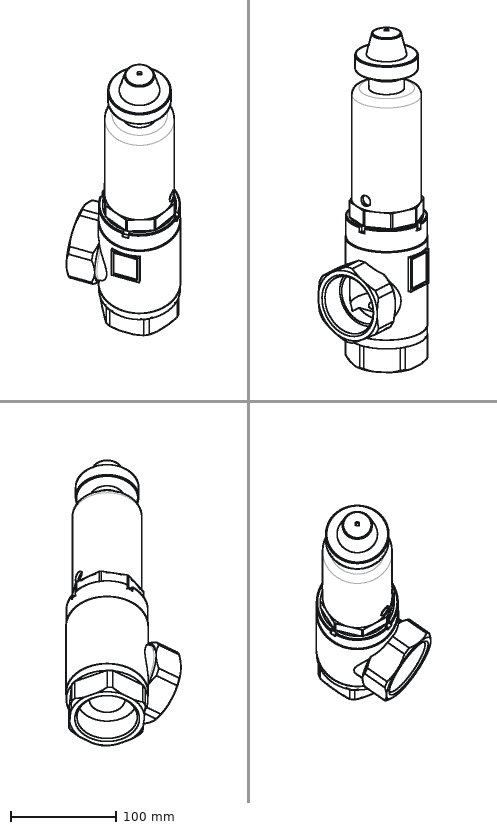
import cadquery as cq
import math

hex_top = 25.5
barrel_bottom = 34.7
ring_bottom = 125.5
ring_top = 147.3
cap_bottom = 163.0
cap_top = 277.7
sleeve_top = 291.0
flange_bottom = 297.0
flange_top = 312.5
cone_top = 334.3
overall_height = 337.0

barrel_radius = 39.0
collar_radius = 38.8
barrel_edge = 0.7
hex_inradius = 35.0
inlet_corner_radius = 39.0
inlet_chamfer = 2.7
inlet_face_radius = 35.7
chamber_radius = 35.0
chamber_floor = 54.3

outlet_height = 74.0
outlet_face = -61.0
outlet_hex_length = 28.5
outlet_corner_radius = 38.5
outlet_front_chamfer = 2.0
outlet_back_chamfer = 3.0
outlet_face_radius = 35.0
neck_radius = 33.0
neck_fillet = 1.5

thread_radius = 28.5
thread_mouth_radius = 30.5
thread_depth = 25.3
port_radius = 26.3
port_end = -20.2
orifice_radius = 17.0

plate_width = 28.3
plate_bottom = 82.5
plate_top = 117.5
plate_face = -39.5
plate_border = 2.5
plate_recess = 1.0

slot_width = 6.0
slot_depth = 5.7
slot_count = 4
ring_edge = 1.0

stub_radius = 35.0
octagon_corner_radius = 35.5
bonnet_floor = 131.5

cap_radius = 33.0
cap_fillet = 6.7
cap_wall = 3.0
vent_diameter = 10.8
vent_height = 172.5

sleeve_radius = 17.0
sleeve_edge = 0.5
spindle_radius = 16.2
flange_radius = 30.0
flange_edge = 1.0
cone_base_radius = 19.2
cone_top_radius = 14.0
cone_edge = 1.0
tip_hole_radius = 2.0
tip_hole_depth = 3.5


def cylinder(radius, bottom, top):
    return cq.Workplane("XY").workplane(offset=bottom).circle(radius).extrude(top - bottom)


def revolved(outline):
    """Solid of revolution about Z from (radius, height) points."""
    return cq.Workplane("XZ").polyline(outline).close().revolve(360, (0, 0), (0, 1))


def polygon_prism(sides, inradius, height):
    """Regular prism standing on Z = 0 with a corner on the X axis."""
    corner_diameter = 2 * inradius / math.cos(math.pi / sides)
    return cq.Workplane("XY").polygon(sides, corner_diameter).extrude(height)


def hex_end(length, turned_outline):
    """Wrench hexagon, its outer face on Z = 0, trimmed to a turned outline of (radius, height) points."""
    return polygon_prism(6, hex_inradius, length).intersect(revolved(turned_outline))


def port_bore(port_bore_radius, depth):
    """Countersunk thread bore narrowing to a smaller port, opening at Z = 0 and running up."""
    countersink = thread_mouth_radius - thread_radius
    outline = [
        (0, 0),
        (thread_mouth_radius, 0),
        (thread_radius, countersink),
        (thread_radius, thread_depth),
        (port_bore_radius, thread_depth),
        (port_bore_radius, depth),
        (0, depth),
    ]
    return revolved(outline)


def to_outlet(shape):
    """Turn a shape built up from Z = 0 so that it runs inward along +X from the outlet face."""
    turned = shape.rotate((0, 0, 0), (0, 1, 0), 90)
    return turned.translate((outlet_face, 0, outlet_height))


def plate_block(face, depth, border):
    """Rectangular block behind the given Y face, inset by the border from the plate outline."""
    height = plate_top - plate_bottom
    return (
        cq.Workplane("XZ", origin=(0, face, (plate_top + plate_bottom) / 2))
        .rect(plate_width - 2 * border, height - 2 * border)
        .extrude(-depth)
    )


def make_inlet():
    return hex_end(
        hex_top,
        [
            (0, 0),
            (inlet_face_radius, 0),
            (inlet_corner_radius, inlet_chamfer),
            (inlet_corner_radius, hex_top),
            (0, hex_top),
        ],
    )


def make_outlet():
    """Outlet hexagon and the neck behind it, flared where it leaves the hexagon."""
    hexagon = hex_end(
        outlet_hex_length,
        [
            (0, 0),
            (outlet_face_radius, 0),
            (outlet_corner_radius, outlet_front_chamfer),
            (outlet_corner_radius, outlet_hex_length - outlet_back_chamfer),
            (outlet_face_radius, outlet_hex_length),
            (0, outlet_hex_length),
        ],
    )
    neck = cylinder(neck_radius, 0, -outlet_face)
    flare_radius = neck_radius + neck_fillet
    flare_end = outlet_hex_length + neck_fillet
    flare = (
        cq.Workplane("XZ")
        .moveTo(0, outlet_hex_length)
        .lineTo(flare_radius, outlet_hex_length)
        .radiusArc((neck_radius, flare_end), neck_fillet)
        .lineTo(0, flare_end)
        .close()
        .revolve(360, (0, 0), (0, 1))
    )
    return to_outlet(hexagon.union(neck).union(flare))


def make_body():
    barrel = cylinder(barrel_radius, barrel_bottom, ring_bottom).faces(">Z").chamfer(barrel_edge)
    collar = cylinder(collar_radius, hex_top, barrel_bottom)
    plate = plate_block(plate_face, -plate_face - chamber_radius, 0)
    body = barrel.union(collar).union(make_inlet()).union(plate).union(make_outlet())
    body = body.cut(plate_block(plate_face, plate_recess, plate_border))
    chamber = cylinder(chamber_radius, chamber_floor, ring_bottom)
    outlet_bore = to_outlet(port_bore(port_radius, port_end - outlet_face))
    inlet_bore = port_bore(orifice_radius, chamber_floor)
    return body.cut(chamber).cut(outlet_bore).cut(inlet_bore)


def make_ring():
    ring = cylinder(collar_radius, ring_bottom, ring_top).faces(">Z").chamfer(ring_edge)
    ring = ring.cut(cylinder(stub_radius, ring_bottom, ring_top))
    slot = (
        cq.Workplane("XY")
        .workplane(offset=ring_top - slot_depth)
        .center(collar_radius, 0)
        .rect(collar_radius, slot_width)
        .extrude(slot_depth)
    )
    for index in range(slot_count):
        ring = ring.cut(slot.rotate((0, 0, 0), (0, 0, 1), index * 360 / slot_count))
    return ring


def make_bonnet():
    """Open cup: an octagon with rounded corners above a round stub that fills the ring."""
    octagon = polygon_prism(8, cap_radius, cap_bottom - ring_top)
    octagon = octagon.intersect(cylinder(octagon_corner_radius, 0, cap_bottom - ring_top))
    octagon = octagon.translate((0, 0, ring_top))
    stub = cylinder(stub_radius, ring_bottom, ring_top)
    cavity = cylinder(cap_radius - cap_wall, bonnet_floor, cap_bottom)
    return stub.union(octagon).cut(cavity)


def make_cap():
    cap = cylinder(cap_radius, cap_bottom, cap_top).faces(">Z").edges().fillet(cap_fillet)
    vent = (
        cq.Workplane("YZ")
        .center(0, vent_height)
        .circle(vent_diameter / 2)
        .extrude(cap_radius, both=True)
    )
    cavity = cylinder(cap_radius - cap_wall, cap_bottom, cap_top - cap_wall)
    cavity = cavity.faces(">Z").edges().fillet(cap_fillet - cap_wall)
    return cap.cut(cavity).cut(vent)


def make_spindle():
    sleeve = cylinder(sleeve_radius, cap_top, sleeve_top).faces(">Z").chamfer(sleeve_edge)
    return sleeve.union(cylinder(spindle_radius, sleeve_top, flange_bottom))


def make_flange():
    return cylinder(flange_radius, flange_bottom, flange_top).edges().chamfer(flange_edge)


def make_cone():
    """Tapered grip with a bevelled rim and a shallow domed end around a small blind hole."""
    dome_radius = cone_top_radius - cone_edge
    dome_rise = overall_height - cone_top
    center_drop = (dome_radius**2 - tip_hole_radius**2 - dome_rise**2) / (2 * dome_rise)
    sphere_radius = math.hypot(dome_radius, center_drop)
    sphere_center = cone_top - center_drop
    rim_angle = math.asin(dome_radius / sphere_radius)
    mouth_angle = math.asin(tip_hole_radius / sphere_radius)
    middle_angle = (rim_angle + mouth_angle) / 2
    dome_middle = (
        sphere_radius * math.sin(middle_angle),
        sphere_center + sphere_radius * math.cos(middle_angle),
    )
    return (
        cq.Workplane("XZ")
        .moveTo(0, flange_top)
        .lineTo(cone_base_radius, flange_top)
        .lineTo(cone_top_radius, cone_top - cone_edge)
        .lineTo(dome_radius, cone_top)
        .threePointArc(dome_middle, (tip_hole_radius, overall_height))
        .lineTo(tip_hole_radius, overall_height - tip_hole_depth)
        .lineTo(0, overall_height - tip_hole_depth)
        .close()
        .revolve(360, (0, 0), (0, 1))
    )


body = make_body()
ring = make_ring()
bonnet = make_bonnet()
cap = make_cap()
spindle = make_spindle()
flange = make_flange()
cone = make_cone()

result = cq.Compound.makeCompound(
    [part.val() for part in (body, ring, bonnet, cap, spindle, flange, cone)]
)